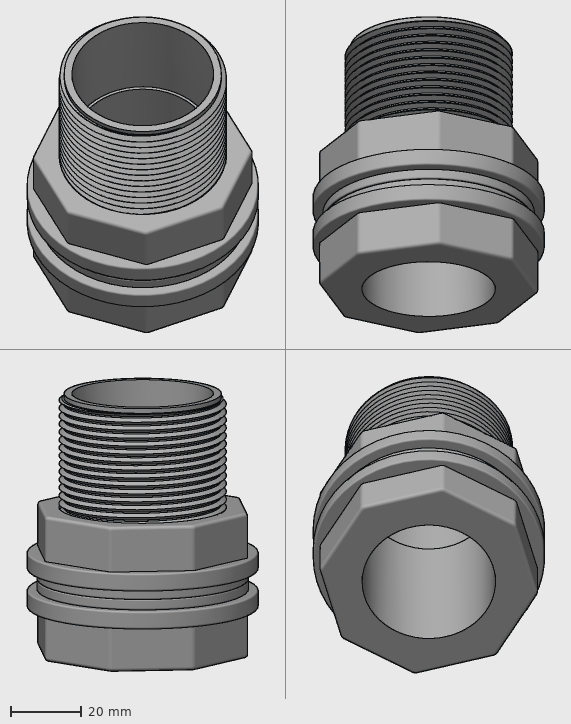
import cadquery as cq
import math

flats_width = 58.0
grip_height = 13.0
corner_radius = 1.9
grip_edge_radius = 1.0
flange_diameter = 66.0
flange_thickness = 5.0
flange_edge_radius = 0.5
collar_height = grip_height + flange_thickness

gasket_diameter = 60.45
gasket_thickness = 6.0
gasket_edge_radius = 0.45

total_height = 75.0
core_diameter = 44.85
thread_diameter = 47.8
plain_lip_height = 1.35
thread_turns = 13.7
thread_base_share = 0.9
thread_start_angle = -35.0
root_overlap = 0.15

bore_diameter = 38.0
socket_mouth_diameter = 40.35
socket_floor_diameter = 39.9
socket_depth = 26.5

gasket_bottom = collar_height
nut_bottom = gasket_bottom + gasket_thickness
nut_top = nut_bottom + collar_height
thread_top = total_height - plain_lip_height
thread_pitch = (thread_top - nut_top) / thread_turns


def collar():
    """Octagonal grip from z = 0 upwards, with its flange on top."""
    grip = (
        cq.Workplane("XY")
        .polygon(8, flats_width, circumscribed=True)
        .extrude(collar_height)
        .edges("|Z")
        .fillet(corner_radius)
        .faces("<Z")
        .edges()
        .fillet(grip_edge_radius)
    )
    flange = (
        cq.Workplane("XY", origin=(0, 0, grip_height))
        .circle(flange_diameter / 2)
        .extrude(flange_thickness)
        .edges()
        .fillet(flange_edge_radius)
    )
    return grip.union(flange)


def cylinder(diameter, bottom, top):
    return cq.Workplane("XY", origin=(0, 0, bottom)).circle(diameter / 2).extrude(top - bottom)


def thread():
    """Helical ridge trimmed flat at the underside of the nut and below the plain lip."""
    turns_in_nut = math.ceil(collar_height / thread_pitch)
    spare_turns = 1
    turns_below_face = turns_in_nut + spare_turns
    all_turns = turns_below_face + thread_turns + spare_turns
    root_radius = core_diameter / 2 - root_overlap
    crest_radius = thread_diameter / 2
    half_base = thread_base_share * thread_pitch / 2
    path = cq.Wire.makeHelix(thread_pitch, all_turns * thread_pitch, core_diameter / 2)
    ridge = (
        cq.Workplane("XZ")
        .moveTo(root_radius, -half_base)
        .lineTo(crest_radius, 0)
        .lineTo(root_radius, half_base)
        .close()
        .sweep(cq.Workplane(path), isFrenet=True)
        .rotate((0, 0, 0), (0, 0, 1), thread_start_angle)
        .translate((0, 0, nut_top - turns_below_face * thread_pitch))
    )
    return ridge.intersect(cylinder(flange_diameter, nut_bottom, thread_top))


def bore():
    """Through hole that opens into a tapered socket above a shoulder."""
    return (
        cq.Workplane("XZ")
        .polyline([
            (0, 0),
            (bore_diameter / 2, 0),
            (bore_diameter / 2, total_height - socket_depth),
            (socket_floor_diameter / 2, total_height - socket_depth),
            (socket_mouth_diameter / 2, total_height),
            (0, total_height),
        ])
        .close()
        .revolve(360, (0, 0, 0), (0, 1, 0))
    )


def make_body():
    """Lower collar with a smooth shank through the gasket, then the threaded pipe."""
    shank = cylinder(thread_diameter, collar_height, nut_bottom)
    pipe = cylinder(core_diameter, nut_bottom, total_height)
    return collar().union(shank).union(pipe).union(thread()).cut(bore())


def make_gasket():
    """Two equal round-edged ribs stacked into one ring, leaving a groove between them."""
    rib_height = gasket_thickness / 2
    ring = cq.Workplane("XY")
    for rib_number in range(2):
        rib_bottom = gasket_bottom + rib_number * rib_height
        rib = cylinder(gasket_diameter, rib_bottom, rib_bottom + rib_height)
        ring = ring.union(rib.edges().fillet(gasket_edge_radius))
    return ring.cut(cylinder(thread_diameter, gasket_bottom, nut_bottom))


def make_nut():
    """Collar turned over so that its flange bears on the gasket, bored to the thread crests."""
    turned = collar().rotate((0, 0, 0), (1, 0, 0), 180).translate((0, 0, nut_top))
    return turned.cut(cylinder(thread_diameter, nut_bottom, nut_top))


body = make_body()
gasket = make_gasket()
nut = make_nut()

result = cq.Compound.makeCompound([body.val(), gasket.val(), nut.val()])